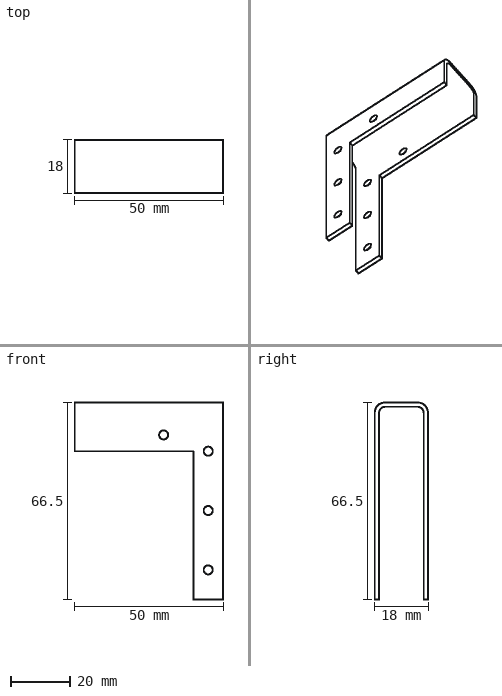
import cadquery as cq

length = 50.0
width = 18.0
height = 66.5
sheet = 1.5
outer_bend_radius = 3.5
inner_bend_radius = outer_bend_radius - sheet

flange_depth = 16.5
leg_width = 10.0

hole_diameter = 3.0
leg_hole_count = 3
leg_hole_pitch = 20.0
lowest_hole_height = leg_hole_pitch / 2
flange_hole_from_end = 20.0
flange_hole_below_top = 11.0


def bent_channel():
    """Full-height inverted U with concentric rounded bends."""
    outer = cq.Workplane("XY").box(length, width, height, centered=(False, True, False))
    outer = outer.edges("|X and >Z").fillet(outer_bend_radius)
    inner = cq.Workplane("XY").box(
        length, width - 2 * sheet, height - sheet, centered=(False, True, False)
    )
    inner = inner.edges("|X and >Z").fillet(inner_bend_radius)
    return outer.cut(inner)


def leg_clearance():
    """Block removed below the flanges, leaving a leg at the +X end."""
    return cq.Workplane("XY").box(
        length - leg_width, width, height - flange_depth, centered=(False, True, False)
    )


def side_holes():
    """Cylinders along Y for the leg holes and the single flange hole."""
    leg_x = length - leg_width / 2
    points = [(leg_x, lowest_hole_height + i * leg_hole_pitch) for i in range(leg_hole_count)]
    points.append((length - flange_hole_from_end, height - flange_hole_below_top))
    return (
        cq.Workplane("XZ")
        .pushPoints(points)
        .circle(hole_diameter / 2)
        .extrude(width / 2, both=True)
    )


result = bent_channel().cut(leg_clearance()).cut(side_holes())